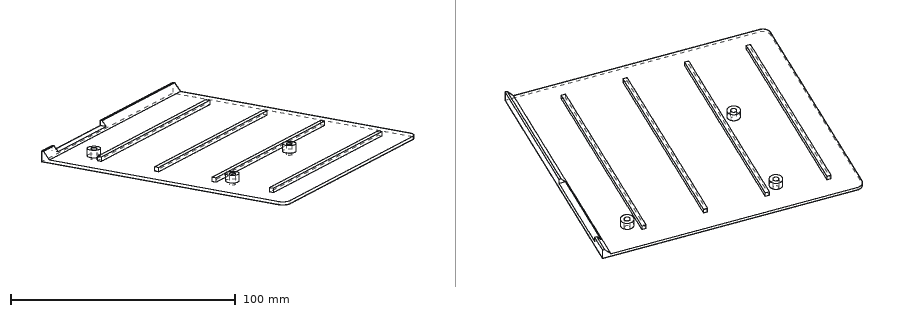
import cadquery as cq

length = 126.0
width = 115.0
plate_thickness = 1.5
corner_radius = 3.7

lip_height = 5.0
lip_top_width = 1.0
lip_foot_width = 4.0

notch_start = 9.3
notch_end = 51.4
notch_floor = 2.6

rib_count = 4
first_rib_x = 24.0
rib_pitch = 29.6
rib_width = 2.0
rib_height = 2.0
rib_end_margin = 10.0

boss_diameter = 6.0
hole_diameter = 2.6
boss_left_x = 18.0
boss_right_x = 89.5
boss_front_y = 15.2
boss_back_y = 65.1
boss_centers = [
    (boss_left_x, boss_front_y),
    (boss_right_x, boss_front_y),
    (boss_right_x, boss_back_y),
]


def make_plate():
    """Flat plate with the two corners opposite the lip rounded."""
    plate = cq.Workplane("XY").box(length, width, plate_thickness, centered=False)
    return plate.edges("|Z and >X").fillet(corner_radius)


def make_lip():
    """Full-width lip with a sloped inner face and a notch in its top."""
    profile = [
        (0, 0),
        (lip_foot_width, 0),
        (lip_foot_width, plate_thickness),
        (lip_top_width, lip_height),
        (0, lip_height),
    ]
    lip = cq.Workplane("XZ").polyline(profile).close().extrude(-width)
    notch = cq.Workplane("XY").box(
        lip_foot_width, notch_end - notch_start, lip_height - notch_floor, centered=False
    )
    return lip.cut(notch.translate((0, notch_start, notch_floor)))


def make_ribs():
    """Evenly spaced ribs, centred across the plate width."""
    rib_length = width - 2 * rib_end_margin
    rib_centers = [(first_rib_x + i * rib_pitch, width / 2) for i in range(rib_count)]
    return (
        cq.Workplane("XY")
        .workplane(offset=plate_thickness)
        .pushPoints(rib_centers)
        .rect(rib_width, rib_length)
        .extrude(rib_height)
    )


def make_boss_cylinders(diameter):
    """Cylinders from the underside to the boss top, at every boss centre."""
    return cq.Workplane("XY").pushPoints(boss_centers).circle(diameter / 2).extrude(lip_height)


result = (
    make_plate()
    .union(make_lip())
    .union(make_ribs())
    .union(make_boss_cylinders(boss_diameter))
    .cut(make_boss_cylinders(hole_diameter))
)